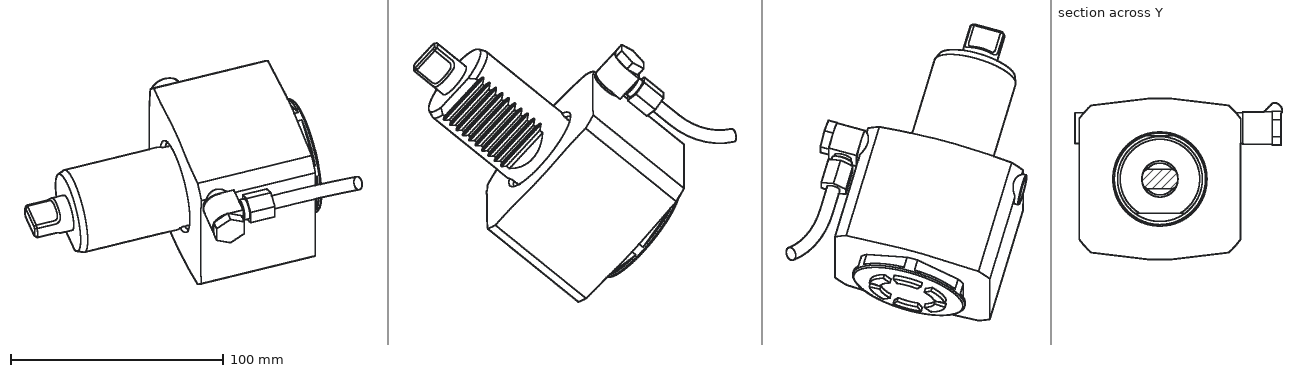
import cadquery as cq
import math


housing_size = 76.0
half_size = housing_size / 2
housing_length = 57.0
crown_half_width = 4.9
corner_radius = 47.5
corner_height = 34.7
front_cone_radius = 41.6
front_cone_depth = 0.5
cut_clearance = 1.5

recess_radius = 22.2
recess_floor_radius = 21.5
recess_depth = 2.2

shank_radius = 20.0
shank_length = 53.0
neck_radius = 19.3
neck_length = 1.2
root_taper_end = 3.5
tip_radius = 37.5 / 2
tip_taper = 3.1
flat_height = 16.0
flat_start = 8.5
tooth_pitch = 4.0
tooth_count = 10
first_tooth_space = 11.8
tooth_depth = 1.9
tooth_space_width = 2.8
tooth_root_width = 0.6

tang_radius = 8.5
tang_end = 72.0
tang_thickness = 8.1
tang_step = 59.0
tang_bevel = 1.0
tang_root_radius = 2.0

nut_radius = 27.5
nut_across_flats = 50.0
nut_length = 6.9
nut_flat_length = 5.1
nut_bevel = 0.7
segment_outer_radius = 37.5 / 2
segment_inner_radius = 13.5
segment_height = 1.9
segment_count = 6
gap_half_angle = 8.5

port_y = 8.5
port_z = 24.0
plug_radius = 14.5 / 2
plug_projection = 2.2
plug_bevel = 0.37
elbow_radius = 7.6
elbow_start = 39.1
elbow_end = 52.8
cap_across_flats = 13.8
cap_length = 4.3
branch_x = 45.7
stub_radius = 4.1
stub_length = 1.6
collar_radius = 9.8 / 2
collar_length = 2.5
gland_across_flats = 12.0
gland_length = 12.0

tube_radius = 6.3 / 2
tube_straight_end = 44.2
tube_bend_radius = 36.9
tube_bend_angle = math.radians(50)


def turned(profile):
    """Solid of revolution about Y from (radius, y) points."""
    return cq.Workplane("XY").polyline(profile).close().revolve(360, (0, 0, 0), (0, 1, 0))


def cylinder_y(x, z, radius, start, length):
    """Cylinder along +Y starting at y = start."""
    return cq.Workplane("XZ", origin=(x, start, z)).circle(radius).extrude(-length)


def hexagon(plane, origin, across_flats, length):
    """Hexagonal bar with one corner pointing up."""
    return (
        cq.Workplane(plane, origin=origin)
        .polygon(6, across_flats, circumscribed=True)
        .extrude(length)
    )


def housing():
    corner_x = math.sqrt(corner_radius**2 - corner_height**2)
    side_z = math.sqrt(corner_radius**2 - half_size**2)
    middle_angle = (math.atan2(corner_height, corner_x) + math.atan2(side_z, half_size)) / 2
    arc_x = corner_radius * math.cos(middle_angle)
    arc_z = corner_radius * math.sin(middle_angle)
    body = (
        cq.Workplane("XZ")
        .moveTo(-crown_half_width, half_size)
        .lineTo(crown_half_width, half_size)
        .lineTo(corner_x, corner_height)
        .threePointArc((arc_x, arc_z), (half_size, side_z))
        .lineTo(half_size, -side_z)
        .threePointArc((arc_x, -arc_z), (corner_x, -corner_height))
        .lineTo(crown_half_width, -half_size)
        .lineTo(-crown_half_width, -half_size)
        .lineTo(-corner_x, -corner_height)
        .threePointArc((-arc_x, -arc_z), (-half_size, -side_z))
        .lineTo(-half_size, side_z)
        .threePointArc((-arc_x, arc_z), (-corner_x, corner_height))
        .close()
        .extrude(-housing_length)
    )
    cone_slope = front_cone_depth / (corner_radius - front_cone_radius)
    outer_radius = corner_radius + cut_clearance
    corner_cut = turned([
        (front_cone_radius, 0),
        (outer_radius, 0),
        (outer_radius, cone_slope * (outer_radius - front_cone_radius)),
    ])
    recess = turned([
        (0, 0),
        (recess_radius, 0),
        (recess_floor_radius, recess_depth),
        (0, recess_depth),
    ])
    return body.cut(corner_cut).cut(recess)


def shank():
    bar = turned([
        (0, recess_depth),
        (neck_radius, recess_depth),
        (neck_radius, -neck_length),
        (shank_radius, -root_taper_end),
        (shank_radius, tip_taper - shank_length),
        (tip_radius, -shank_length),
        (0, -shank_length),
    ])
    drop = 2 * (shank_radius - flat_height)
    flat = (
        cq.Workplane("YZ")
        .polyline([
            (-flat_start, -flat_height),
            (drop - flat_start, -flat_height - drop),
            (-shank_length, -flat_height - drop),
            (-shank_length, -flat_height),
        ])
        .close()
        .extrude(shank_radius, both=True)
    )
    bar = bar.cut(flat)
    for index in range(tooth_count):
        center = -first_tooth_space - index * tooth_pitch
        space = (
            cq.Workplane("YZ")
            .polyline([
                (center - tooth_space_width / 2, -flat_height),
                (center - tooth_root_width / 2, -flat_height + tooth_depth),
                (center + tooth_root_width / 2, -flat_height + tooth_depth),
                (center + tooth_space_width / 2, -flat_height),
            ])
            .close()
            .extrude(shank_radius, both=True)
        )
        bar = bar.cut(space)
    return bar


def tang():
    shaft = (
        cq.Workplane("XZ", origin=(0, -shank_length, 0))
        .circle(tang_radius)
        .extrude(tang_end - shank_length)
    )
    half = tang_thickness / 2
    shoulder = tang_step + tang_bevel
    flat_cut = (
        cq.Workplane("XY", origin=(0, -(shoulder + tang_end) / 2, half))
        .box(2 * tang_radius, tang_end - shoulder, tang_radius, centered=(True, True, False))
        .edges(">Y and <Z")
        .fillet(tang_root_radius)
    )
    shaft = shaft.cut(flat_cut).cut(flat_cut.mirror("XY"))
    shaft = shaft.edges("|Y").edges(">Z or <Z").chamfer(tang_bevel)
    return shaft.faces("<Y").chamfer(tang_bevel)


def clamping_nut():
    back = housing_length + nut_length
    rim_start = housing_length + nut_flat_length
    rim = turned([
        (0, rim_start),
        (nut_radius, rim_start),
        (nut_radius, back - nut_bevel),
        (nut_radius - nut_bevel, back),
        (0, back),
    ])
    flats = hexagon("XZ", (0, housing_length, 0), nut_across_flats, -nut_flat_length)
    rounding = cylinder_y(0, 0, nut_radius, housing_length, nut_flat_length)
    nut = rim.union(flats.intersect(rounding))
    ring = cylinder_y(0, 0, segment_outer_radius, back, segment_height)
    ring = ring.cut(cylinder_y(0, 0, segment_inner_radius, back, segment_height))
    reach = 2 * segment_outer_radius
    spread = reach * math.tan(math.radians(gap_half_angle))
    gap = (
        cq.Workplane("XZ", origin=(0, back, 0))
        .polyline([(0, 0), (reach, spread), (reach, -spread)])
        .close()
        .extrude(-segment_height)
    )
    for index in range(segment_count):
        ring = ring.cut(gap.rotate((0, 0, 0), (0, 1, 0), index * 360 / segment_count))
    return nut.union(ring)


def plug():
    return (
        cq.Workplane("YZ", origin=(0, port_y, port_z))
        .circle(plug_radius)
        .extrude(-half_size - plug_projection)
        .faces("<X")
        .chamfer(plug_bevel)
    )


def elbow_fitting():
    spigot = cq.Workplane("YZ", origin=(0, port_y, port_z)).circle(plug_radius).extrude(elbow_start)
    elbow = (
        cq.Workplane("YZ", origin=(elbow_start, port_y, port_z))
        .moveTo(0, elbow_radius)
        .threePointArc((-elbow_radius, 0), (0, -elbow_radius))
        .lineTo(elbow_radius, -elbow_radius)
        .lineTo(elbow_radius, elbow_radius)
        .close()
        .extrude(elbow_end - elbow_start)
    )
    cap = hexagon("YZ", (elbow_end, port_y, port_z), cap_across_flats, cap_length)
    stub_y = port_y + elbow_radius
    collar_y = stub_y + stub_length
    gland_y = collar_y + collar_length
    stub = cylinder_y(branch_x, port_z, stub_radius, stub_y, stub_length)
    collar = cylinder_y(branch_x, port_z, collar_radius, collar_y, collar_length)
    gland = hexagon("XZ", (branch_x, gland_y, port_z), gland_across_flats, -gland_length)
    return spigot.union(elbow).union(cap).union(stub).union(collar).union(gland)


def coolant_tube():
    """Tube leaving along +Y, then bending equally toward +X and +Z."""
    start = port_y + elbow_radius + stub_length + collar_length + gland_length
    bend_plane = cq.Plane(origin=(branch_x, 0, port_z), xDir=(1, 0, 1), normal=(-1, 0, 1))

    def bend_point(angle):
        return (
            tube_bend_radius * (1 - math.cos(angle)),
            tube_straight_end + tube_bend_radius * math.sin(angle),
        )

    path = (
        cq.Workplane(bend_plane)
        .moveTo(0, start)
        .lineTo(0, tube_straight_end)
        .threePointArc(bend_point(tube_bend_angle / 2), bend_point(tube_bend_angle))
    )
    return cq.Workplane("XZ", origin=(branch_x, start, port_z)).circle(tube_radius).sweep(path)


result = (
    housing()
    .union(shank())
    .union(tang())
    .union(clamping_nut())
    .union(plug())
    .union(elbow_fitting())
    .union(coolant_tube())
)